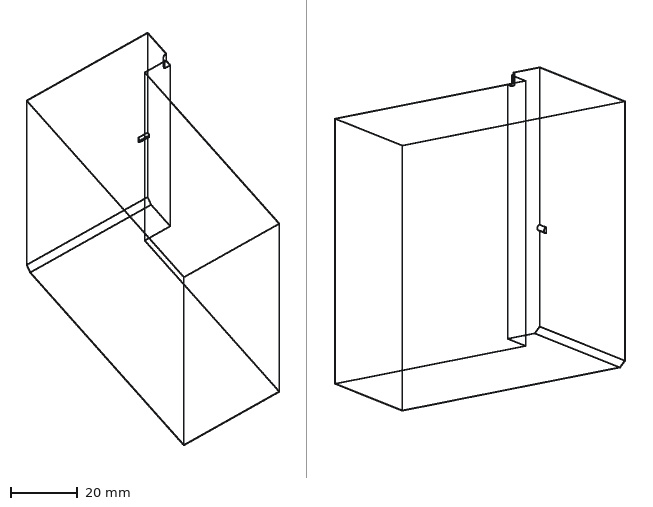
import cadquery as cq

length = 81.8
depth = 44.45
height = 82.9

lip_width = 11.8
lip_reach = 9.4

chamfer_size = 1.8

groove_radius = 0.9
groove_length = 3.5
groove_height = 32.75

notch_radius = 2.1
notch_depth = groove_length


def l_shaped_body():
    """Block with its lip, with the lower left edge chamfered."""
    body_depth = depth - lip_reach
    outline = [
        (0, 0),
        (length, 0),
        (length, body_depth),
        (lip_width, body_depth),
        (lip_width, depth),
        (0, depth),
    ]
    body = cq.Workplane("XY").polyline(outline).close().extrude(height)
    return body.edges("<X and <Z").chamfer(chamfer_size)


def side_groove():
    """Cylinder centred on the left face, running forward from the back."""
    start = cq.Vector(0, depth, groove_height)
    return cq.Solid.makeCylinder(groove_radius, groove_length, start, cq.Vector(0, -1, 0))


def corner_notch():
    """Cylinder centred on the lip's right back corner, running down from the top."""
    start = cq.Vector(lip_width, depth, height)
    return cq.Solid.makeCylinder(notch_radius, notch_depth, start, cq.Vector(0, 0, -1))


result = l_shaped_body().cut(side_groove()).cut(corner_notch())